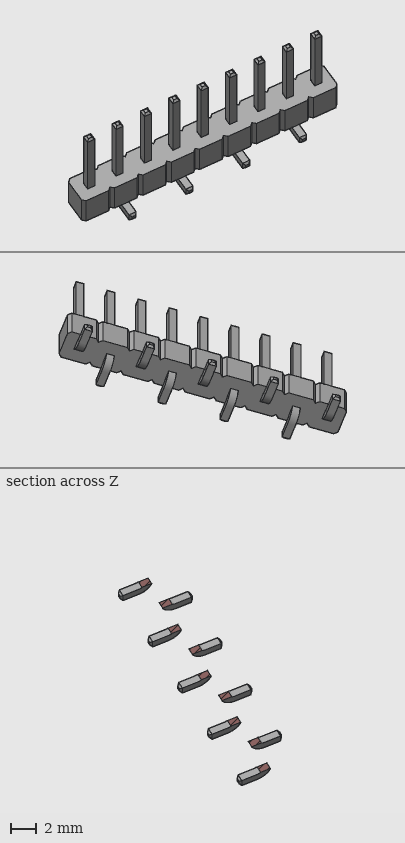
import cadquery as cq

pin_count = 9
row_length = 22.85
pitch = row_length / pin_count
housing_width = pitch
housing_height = pitch
cell_flat = 2.01
corner_cut = (pitch - cell_flat) / 2

pin_side = 0.65
overall_height = 9.3
foot_span = 5.0
housing_bottom = 0.75
bend_outer_radius = 1.28
tip_flat = 0.3

half_pin = pin_side / 2
tip_taper = (pin_side - tip_flat) / 2
foot_reach = foot_span / 2
bend_inner_radius = bend_outer_radius - pin_side
bend_center_x = bend_outer_radius - half_pin


def housing_cell(y):
    """One block of the housing; the cut corners of neighbours form V grooves."""
    return (
        cq.Workplane("XY", origin=(0, y, housing_bottom))
        .rect(housing_width, pitch)
        .extrude(housing_height)
        .edges("|Z")
        .chamfer(corner_cut)
    )


def bent_pin():
    """A pin centred on Y = 0 whose foot points toward +X."""
    profile = (
        cq.Workplane("XZ", origin=(0, half_pin, 0))
        .moveTo(-half_pin, overall_height)
        .lineTo(-half_pin, bend_outer_radius)
        .radiusArc((bend_center_x, 0), -bend_outer_radius)
        .lineTo(foot_reach, 0)
        .lineTo(foot_reach, pin_side)
        .lineTo(bend_center_x, pin_side)
        .radiusArc((half_pin, bend_outer_radius), bend_inner_radius)
        .lineTo(half_pin, overall_height)
        .close()
    )
    return profile.extrude(pin_side).faces(">Z or >X").chamfer(tip_taper)


foot_right = bent_pin()
foot_left = foot_right.mirror("YZ")

result = cq.Workplane("XY")
for index in range(pin_count):
    cell_y = (index - (pin_count - 1) / 2) * pitch
    pin = foot_left if index % 2 == 0 else foot_right
    result = result.union(housing_cell(cell_y)).union(pin.translate((0, cell_y, 0)))
result = result.clean()